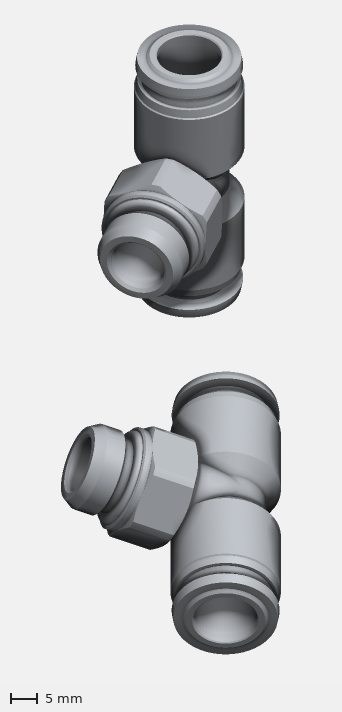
import cadquery as cq


run_half_length = 27.5
body_diameter = 20.5
body_outer_z = 20.15
body_inner_z = 5.95
branch_diameter = 15.0
waist_diameter = branch_diameter
waist_half_length = 2.6
body_edge_height = 0.2

lower_step_base_diameter = 20.0
lower_step_top_diameter = 19.3
upper_step_base_diameter = 17.9
upper_step_top_diameter = 16.95
step_z = 21.95
shoulder_top_z = 23.25

collet_neck_diameter = 14.9
neck_top_z = 24.5
flange_bottom_z = 24.9
flange_rim_height = 0.5
flange_top_z = 26.95
flange_diameter = 20.0
flange_rim_diameter = 19.9
flange_top_diameter = 19.35
nose_base_diameter = 16.0
nose_top_diameter = 14.7

run_bore_diameter = 10.2
socket_diameter = 12.0
socket_chamfer = 0.2

branch_bore_diameter = 10.5
bore_chamfer = 0.55
hex_start = 10.55
hex_end = 19.95
hex_chamfer = 0.55
hex_across_flats = 20.0
hex_corner_diameter = 22.2
collar_diameter = 19.9
collar_chamfer_start = 21.3
collar_chamfer_diameter = 19.1
collar_end = 21.55
seal_base_diameter = 18.35
seal_tip_diameter = 16.3
seal_end = 22.55
seal_bulge = 0.2
undercut_diameter = 14.4
undercut_end = 24.1
thread_start = 24.75
thread_diameter = 16.65
tip_chamfer_start = 28.5
tip_diameter = 14.3
branch_length = 30.45


def revolve_about_z(stations):
    """Solid of revolution through (diameter, z) stations listed along Z."""
    outline = [(diameter / 2, z) for diameter, z in stations]
    outline = [(0, stations[0][1])] + outline + [(0, stations[-1][1])]
    return cq.Workplane("XZ").polyline(outline).close().revolve(360, (0, 0), (0, 1))


def point_along_branch(solid):
    """Turn a solid built along +Z so that it points along -Y."""
    return solid.rotate((0, 0, 0), (1, 0, 0), 90)


def make_run_half():
    """Upper half of the run, from the waist to the collet nose."""
    return revolve_about_z([
        (waist_diameter, 0),
        (waist_diameter, waist_half_length),
        (body_diameter, body_inner_z),
        (body_diameter, body_outer_z),
        (lower_step_base_diameter, body_outer_z + body_edge_height),
        (lower_step_top_diameter, step_z),
        (upper_step_base_diameter, step_z),
        (upper_step_top_diameter, shoulder_top_z),
        (collet_neck_diameter, shoulder_top_z),
        (collet_neck_diameter, neck_top_z),
        (nose_base_diameter, flange_bottom_z),
        (flange_diameter, flange_bottom_z),
        (flange_rim_diameter, flange_bottom_z + flange_rim_height),
        (flange_top_diameter, flange_top_z),
        (nose_base_diameter, flange_top_z),
        (nose_top_diameter, run_half_length),
    ])


def make_socket():
    """Tube socket at the upper end, with a chamfered mouth."""
    return revolve_about_z([
        (socket_diameter, body_inner_z),
        (socket_diameter, run_half_length - socket_chamfer),
        (socket_diameter + 2 * socket_chamfer, run_half_length),
    ])


def make_hexagon():
    """Hexagon with rounded corners and conical chamfers at both ends."""
    prism = (
        cq.Workplane("XY", origin=(0, 0, hex_start))
        .polygon(6, hex_across_flats, circumscribed=True)
        .extrude(hex_end - hex_start)
    )
    envelope = revolve_about_z([
        (hex_across_flats, hex_start),
        (hex_corner_diameter, hex_start + hex_chamfer),
        (hex_corner_diameter, hex_end - hex_chamfer),
        (hex_across_flats, hex_end),
    ])
    return prism.intersect(envelope)


def make_seal():
    """Sealing ring with a convex outer face, seated against the collar."""
    base_radius = seal_base_diameter / 2
    tip_radius = seal_tip_diameter / 2
    middle_radius = (base_radius + tip_radius) / 2
    middle_height = (collar_end + seal_end) / 2
    bulge_point = (middle_radius + seal_bulge, middle_height + seal_bulge)
    return (
        cq.Workplane("XZ")
        .moveTo(0, collar_end)
        .lineTo(base_radius, collar_end)
        .threePointArc(bulge_point, (tip_radius, seal_end))
        .lineTo(0, seal_end)
        .close()
        .revolve(360, (0, 0), (0, 1))
    )


def make_branch():
    """Complete solid branch, built along +Z from the run axis."""
    stem = cq.Workplane("XY").circle(branch_diameter / 2).extrude(hex_start)
    collar = revolve_about_z([
        (collar_diameter, hex_end),
        (collar_diameter, collar_chamfer_start),
        (collar_chamfer_diameter, collar_end),
    ])
    thread = revolve_about_z([
        (undercut_diameter, seal_end),
        (undercut_diameter, undercut_end),
        (thread_diameter, thread_start),
        (thread_diameter, tip_chamfer_start),
        (tip_diameter, branch_length),
    ])
    return stem.union(make_hexagon()).union(collar).union(make_seal()).union(thread)


def make_branch_bore():
    """Branch bore from the run axis to its chamfered mouth."""
    return revolve_about_z([
        (branch_bore_diameter, 0),
        (branch_bore_diameter, branch_length - bore_chamfer),
        (branch_bore_diameter + 2 * bore_chamfer, branch_length),
    ])


run_half = make_run_half()
run = run_half.union(run_half.mirror("XY"))
tee = run.union(point_along_branch(make_branch()))

socket = make_socket()
run_bore = (
    cq.Workplane("XY", origin=(0, 0, -run_half_length))
    .circle(run_bore_diameter / 2)
    .extrude(2 * run_half_length)
)
result = (
    tee.cut(run_bore)
    .cut(socket)
    .cut(socket.mirror("XY"))
    .cut(point_along_branch(make_branch_bore()))
)